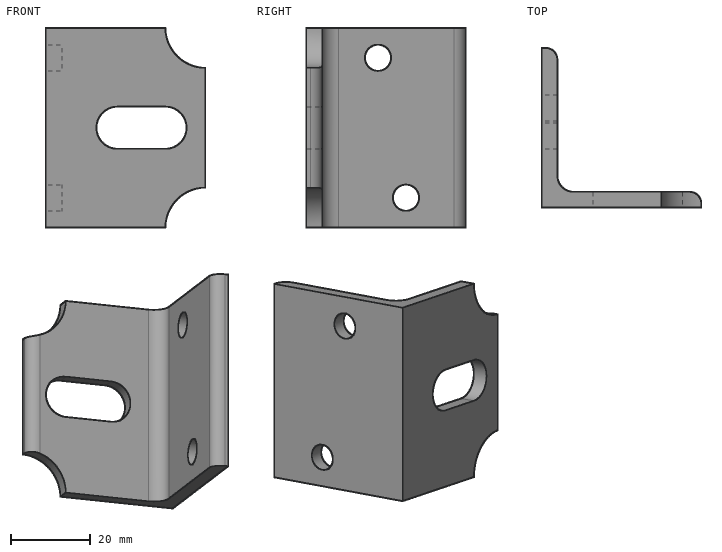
import cadquery as cq

leg = 40
height = 50
thickness = 4
root_radius = 4
toe_radius = 3
corner_cut_radius = 10

slot_length = 22.5
slot_width = 10.5
slot_center_x = 24
slot_center_z = height / 2

hole_diameter = 6.5
hole_edge_distance = 7.5
hole_centers = [(25, hole_edge_distance), (18, height - hole_edge_distance)]


def angle_body():
    """L section with a filleted root and rounded inner toe edges."""
    body = (
        cq.Workplane("XY")
        .polyline([
            (0, 0),
            (leg, 0),
            (leg, thickness),
            (thickness, thickness),
            (thickness, leg),
            (0, leg),
        ])
        .close()
        .extrude(height)
    )
    root_point = (thickness, thickness, height / 2)
    toe_points = [(leg, thickness, height / 2), (thickness, leg, height / 2)]
    body = body.edges(cq.selectors.NearestToPointSelector(root_point)).fillet(root_radius)
    for point in toe_points:
        body = body.edges(cq.selectors.NearestToPointSelector(point)).fillet(toe_radius)
    return body


def front_leg_cuts():
    """Slot and the two quarter-round notches in the free corners."""
    front = cq.Workplane("XZ")
    slot = front.center(slot_center_x, slot_center_z).slot2D(slot_length, slot_width).extrude(-thickness)
    notches = front.pushPoints([(leg, 0), (leg, height)]).circle(corner_cut_radius).extrude(-thickness)
    return slot.union(notches)


def side_leg_holes():
    return cq.Workplane("YZ").pushPoints(hole_centers).circle(hole_diameter / 2).extrude(thickness)


result = angle_body().cut(front_leg_cuts()).cut(side_leg_holes())